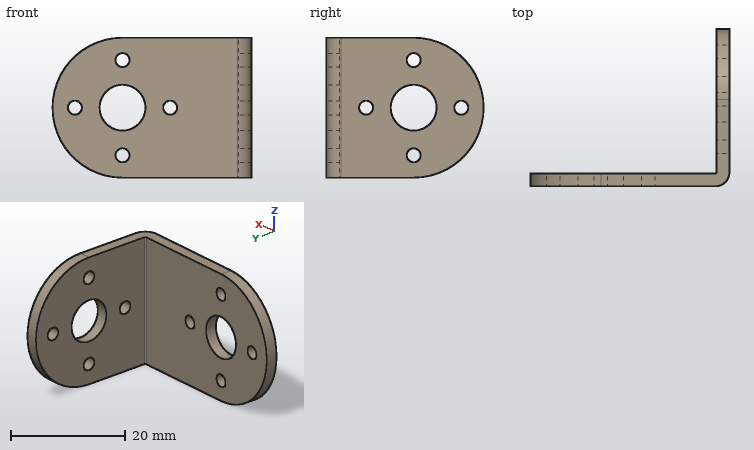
import cadquery as cq

length_x = 34.92
length_y = 27.62
height = 24.6
thickness = 2.3
inner_bend_radius = 0.2
center_hole_diameter = 8.0
mount_hole_diameter = 2.4
mount_hole_offset = 8.35

outer_bend_radius = inner_bend_radius + thickness
end_radius = height / 2


def leg_blank(leg_length):
    """Flat leg with a rounded free end centred on the origin, reaching the bend along +X."""
    return (
        cq.Workplane("XY")
        .moveTo(0, end_radius)
        .threePointArc((-end_radius, 0), (0, -end_radius))
        .lineTo(leg_length - end_radius, -end_radius)
        .lineTo(leg_length - end_radius, end_radius)
        .close()
        .extrude(thickness)
    )


def drilled_leg(leg_length):
    """Leg with a central hole and four mounting holes around it."""
    mount_points = [
        (mount_hole_offset, 0),
        (-mount_hole_offset, 0),
        (0, mount_hole_offset),
        (0, -mount_hole_offset),
    ]
    return (
        leg_blank(leg_length)
        .faces(">Z")
        .workplane(origin=(0, 0, thickness))
        .hole(center_hole_diameter)
        .faces(">Z")
        .workplane(origin=(0, 0, thickness))
        .pushPoints(mount_points)
        .hole(mount_hole_diameter)
    )


front_leg = (
    drilled_leg(length_x)
    .rotate((0, 0, 0), (1, 0, 0), 90)
    .translate((end_radius, thickness, 0))
)

side_leg = (
    drilled_leg(length_y)
    .rotate((0, 0, 0), (1, 0, 0), 90)
    .rotate((0, 0, 0), (0, 0, 1), -90)
    .translate((length_x, length_y - end_radius, 0))
)
bracket = front_leg.union(side_leg)

inner_corner = cq.NearestToPointSelector((length_x - thickness, thickness, 0))
outer_corner = cq.NearestToPointSelector((length_x, 0, 0))
bracket = bracket.edges("|Z").edges(inner_corner).fillet(inner_bend_radius)
result = bracket.edges("|Z").edges(outer_corner).fillet(outer_bend_radius)